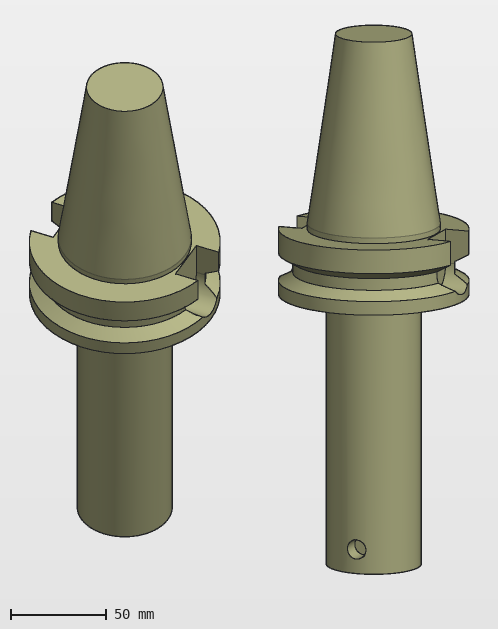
import cadquery as cq
import math


gauge_diameter = 69.85
taper_length = 101.8
taper_ratio = 7 / 24
gauge_land = 3.0

flange_diameter = 100.0
flange_thickness = 35.0
groove_floor_diameter = 85.0
groove_centre_depth = 23.2
groove_floor_width = 6.3
groove_flank_angle = 30.0

nose_diameter = 50.0
nose_end_depth = 183.0
neck_chamfer = 5.0

slot_width = 25.7
slot_depth = 31.0
slot_floor_distance = 35.4

screw_diameter = 10.3
screw_height = 13.0
screw_depth = 11.0

flange_top = -gauge_land
flange_bottom = flange_top - flange_thickness
nose_end = -nose_end_depth


def make_body():
    """Revolve the taper, grooved flange and nose about Z."""
    taper_radius = gauge_diameter / 2
    tip_radius = taper_radius - taper_length * taper_ratio / 2
    flange_radius = flange_diameter / 2
    floor_radius = groove_floor_diameter / 2
    nose_radius = nose_diameter / 2
    flank_height = (flange_radius - floor_radius) * math.tan(math.radians(groove_flank_angle))
    floor_top = -groove_centre_depth + groove_floor_width / 2
    floor_bottom = floor_top - groove_floor_width
    outline = [
        (0, taper_length),
        (tip_radius, taper_length),
        (taper_radius, 0),
        (taper_radius, flange_top),
        (flange_radius, flange_top),
        (flange_radius, floor_top + flank_height),
        (floor_radius, floor_top),
        (floor_radius, floor_bottom),
        (flange_radius, floor_bottom - flank_height),
        (flange_radius, flange_bottom),
        (nose_radius + neck_chamfer, flange_bottom),
        (nose_radius, flange_bottom - neck_chamfer),
        (nose_radius, nose_end),
        (0, nose_end),
    ]
    return cq.Workplane("XZ").polyline(outline).close().revolve(360, (0, 0), (0, 1))


def make_drive_slot(side):
    """Cutter for the drive slot on the given X side (+1 or -1)."""
    half_width = slot_width / 2
    slot_bottom = flange_top - slot_depth
    arc_start = slot_bottom + half_width
    return (
        cq.Workplane("YZ", origin=(side * slot_floor_distance, 0, 0))
        .moveTo(-half_width, flange_top)
        .lineTo(-half_width, arc_start)
        .threePointArc((0, slot_bottom), (half_width, arc_start))
        .lineTo(half_width, flange_top)
        .close()
        .extrude(side * flange_diameter / 2)
    )


def make_screw_hole():
    """Cutter for the blind radial hole, drilled inwards from the +Y side."""
    hole_floor = nose_diameter / 2 - screw_depth
    return (
        cq.Workplane("XZ", origin=(0, hole_floor, nose_end + screw_height))
        .circle(screw_diameter / 2)
        .extrude(-nose_diameter)
    )


result = make_body()
for slot_side in (-1, 1):
    result = result.cut(make_drive_slot(slot_side))
result = result.cut(make_screw_hole())